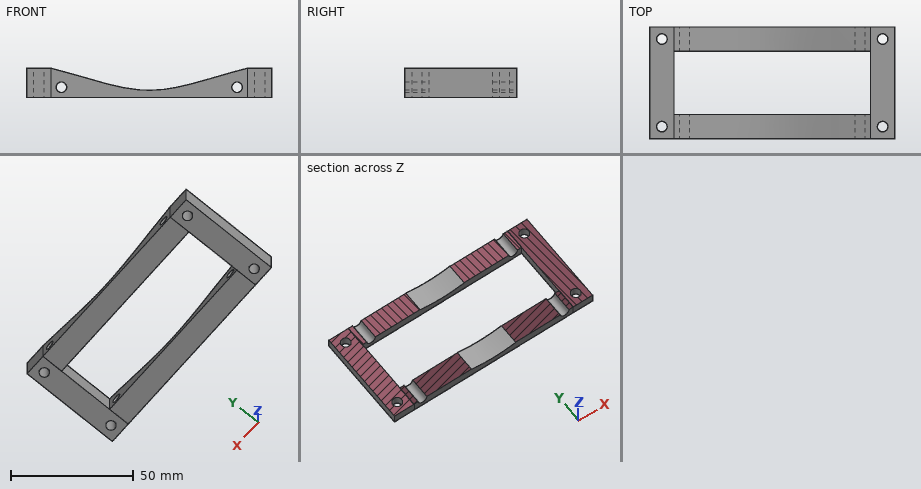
import cadquery as cq

LENGTH = 100.2
WIDTH = 45.8
HEIGHT = 12.0
BAR_WIDTH = 10.0

RAIL_MIN_HEIGHT = 3.0
RAIL_END_SLOPE = 0.25

HOLE_DIAMETER = 4.2
RAIL_HOLE_INSET = 4.2
RAIL_HOLE_HEIGHT = 4.2

RAIL_LENGTH = LENGTH - 2 * BAR_WIDTH
BLOCK_X = (LENGTH - BAR_WIDTH) / 2
RAIL_Y = (WIDTH - BAR_WIDTH) / 2


def make_end_block(x_center):
    """Plain end block with a vertical through hole near each end."""
    hole_points = [(0, -RAIL_Y), (0, RAIL_Y)]
    return (
        cq.Workplane("XY")
        .box(BAR_WIDTH, WIDTH, HEIGHT, centered=(True, True, False))
        .faces(">Z")
        .workplane()
        .pushPoints(hole_points)
        .hole(HOLE_DIAMETER)
        .translate((x_center, 0, 0))
    )


def make_side_rail(y_center):
    """Rail with a smoothly sagging top and a cross hole near each end."""
    half_length = RAIL_LENGTH / 2
    profile = (
        cq.Workplane("XZ", origin=(0, BAR_WIDTH / 2, 0))
        .moveTo(half_length, 0)
        .lineTo(-half_length, 0)
        .lineTo(-half_length, HEIGHT)
        .spline(
            [(0, RAIL_MIN_HEIGHT), (half_length, HEIGHT)],
            tangents=[(1, -RAIL_END_SLOPE), (1, RAIL_END_SLOPE)],
            includeCurrent=True,
        )
        .close()
    )
    rail = profile.extrude(BAR_WIDTH)

    hole_x = half_length - RAIL_HOLE_INSET
    hole_points = [(-hole_x, RAIL_HOLE_HEIGHT), (hole_x, RAIL_HOLE_HEIGHT)]
    drills = (
        cq.Workplane("XZ")
        .pushPoints(hole_points)
        .circle(HOLE_DIAMETER / 2)
        .extrude(BAR_WIDTH, both=True)
    )
    return rail.cut(drills).translate((0, y_center, 0))


end_blocks = [make_end_block(side * BLOCK_X).solids().val() for side in (-1, 1)]
side_rails = [make_side_rail(side * RAIL_Y).solids().val() for side in (-1, 1)]

result = cq.Compound.makeCompound([*end_blocks, *side_rails])